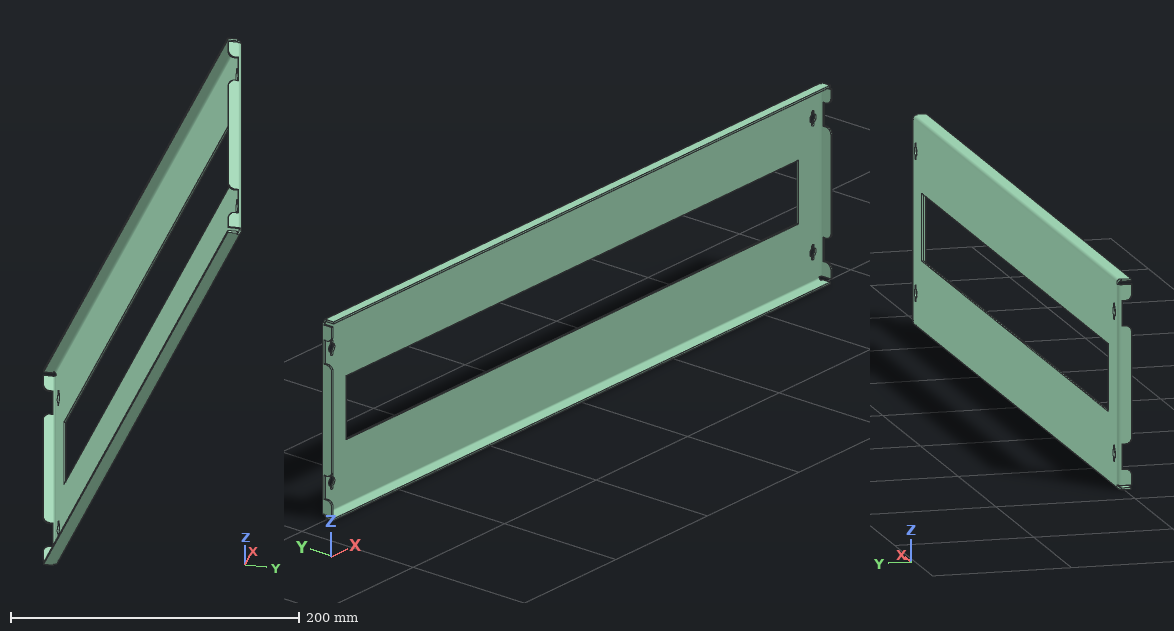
import cadquery as cq

LENGTH = 547.0
DEPTH = 10.0
HEIGHT = 150.0

SHEET = 1.5
BEND_INNER = 1.5
BEND_OUTER = BEND_INNER + SHEET

WINDOW_LENGTH = 494.0
WINDOW_HEIGHT = 48.0

HOLE_SPACING_X = 526.0
HOLE_SPACING_Z = 101.0
HOLE_DIAMETER = 6.5
SLOT_WIDTH = 2.5
SLOT_HEIGHT = 11.5

NOTCH_SPACING = 102.0
NOTCH_HEIGHT = 18.0
NOTCH_FLOOR = BEND_OUTER
TAB_RADIUS = 4.5

CORNER_RELIEF = 3.5
FLANGE_INSET = 2.0


def bent_channel(span, run):
    """U section in the XY plane, opening toward -Y, extruded along Z and centred."""
    outer = (
        cq.Workplane("XY")
        .rect(span, 2 * DEPTH)
        .extrude(run / 2, both=True)
        .edges("|Z and >Y")
        .fillet(BEND_OUTER)
    )
    inner = (
        cq.Workplane("XY")
        .rect(span - 2 * SHEET, 2 * (DEPTH - SHEET))
        .extrude(run / 2, both=True)
        .edges("|Z and >Y")
        .fillet(BEND_INNER)
    )
    front_half = cq.Workplane("XY").box(span, DEPTH, run).translate((0, DEPTH / 2, 0))
    return outer.cut(inner).intersect(front_half).translate((0, -DEPTH, 0))


def end_flanges():
    """Plate with a flange bent forward along each short end."""
    return bent_channel(LENGTH, HEIGHT - 2 * CORNER_RELIEF)


def long_flanges():
    """Plate with a flange bent forward along each long side, the bends relieved at the corners."""
    channel = bent_channel(HEIGHT, LENGTH - 2 * FLANGE_INSET).rotate((0, 0, 0), (0, 1, 0), 90)
    bend_zone = cq.Workplane("XY").box(LENGTH - 2 * CORNER_RELIEF, 2 * BEND_OUTER, HEIGHT)
    flange_run = DEPTH - BEND_OUTER
    flange_zone = (
        cq.Workplane("XY")
        .box(LENGTH, flange_run, HEIGHT)
        .translate((0, -BEND_OUTER - flange_run / 2, 0))
    )
    return channel.intersect(bend_zone.union(flange_zone))


def window():
    """Cutter for the long central opening."""
    return cq.Workplane("XZ").rect(WINDOW_LENGTH, WINDOW_HEIGHT).extrude(DEPTH, both=True)


def fixing_holes():
    """Cutter for the four slotted fixing holes."""
    centres = cq.Workplane("XZ").rect(HOLE_SPACING_X, HOLE_SPACING_Z, forConstruction=True).vertices()
    round_holes = centres.circle(HOLE_DIAMETER / 2).extrude(DEPTH, both=True)
    slots = centres.slot2D(SLOT_HEIGHT, SLOT_WIDTH, 90).extrude(DEPTH, both=True)
    return round_holes.union(slots)


def flange_notch(z_centre):
    """Cutter through both end flanges, flaring out to round the tab corners on each side."""
    half = NOTCH_HEIGHT / 2
    front = -DEPTH
    floor = -NOTCH_FLOOR
    shoulder = front + TAB_RADIUS
    flared = half + TAB_RADIUS
    return (
        cq.Workplane("YZ", origin=(0, 0, z_centre))
        .moveTo(floor, -half)
        .lineTo(shoulder, -half)
        .radiusArc((front, -flared), -TAB_RADIUS)
        .lineTo(front, flared)
        .radiusArc((shoulder, half), -TAB_RADIUS)
        .lineTo(floor, half)
        .close()
        .extrude(LENGTH, both=True)
    )


result = end_flanges().union(long_flanges()).cut(window()).cut(fixing_holes())
for side in (-1, 1):
    result = result.cut(flange_notch(side * NOTCH_SPACING / 2))